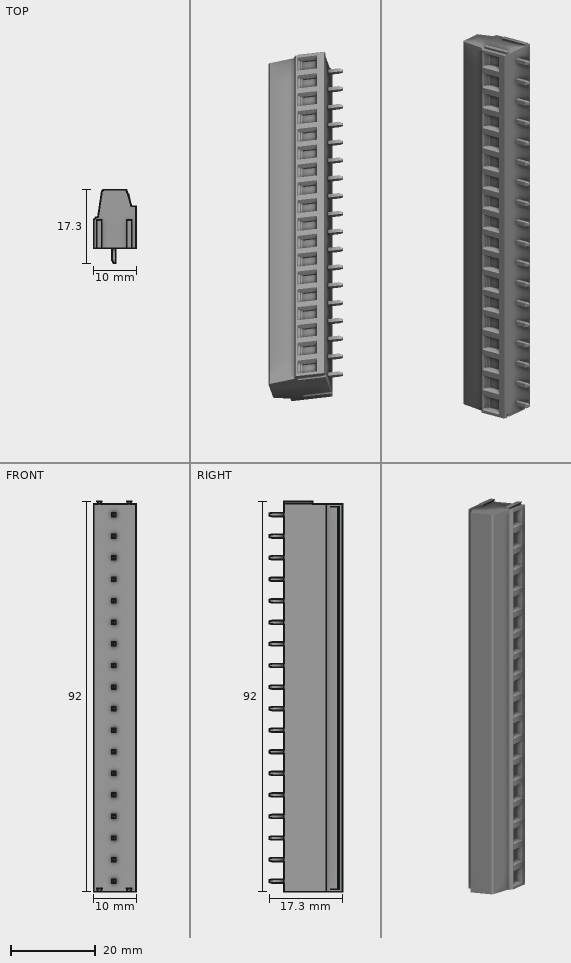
import cadquery as cq

pole_count = 18
overall_height = 92.0
body_height = 91.4
body_width = 10.0
body_depth = 13.8
pole_pitch = body_height / pole_count

left_shoulder_x = 1.0
left_shoulder_y = 7.4
shoulder_chamfer = 0.6
crown_left_x = 1.9
crown_left_y = 13.4
crown_corner = 0.4
crown_right_x = 7.7
right_foot_x = 8.9
right_shoulder_y = 9.9

rail_centers = (1.4, 8.4)
rail_width = 1.2
rail_neck = 0.5
groove_width = 1.3
groove_neck = 0.6
groove_depth = 0.8
rail_height = overall_height - body_height
rail_length = 6.7

window_y_min = 1.7
window_y_max = 6.4
window_height = 3.7
window_taper = 0.55
funnel_depth = 0.9
step_width = 0.55
step_depth = 0.6
clamp_y_max = 5.3
clamp_depth = 0.5

pin_x = 4.8
pin_size = 0.9
pin_length = 3.5
pin_root = 0.9
tip_length = 0.7
tip_size = 0.55

ridge_low_y = 11.0
ridge_high_y = 13.0
ridge_rise = 0.3
ridge_end_gap = 0.6


def slope_x(y):
    """X of the sloping right side at height y above the mounting face."""
    run = right_foot_x - crown_right_x
    return crown_right_x + run * (body_depth - y) / (body_depth - right_shoulder_y)


def make_housing():
    outline = [
        (0, 0),
        (body_width, 0),
        (body_width, right_shoulder_y),
        (right_foot_x, right_shoulder_y),
        (crown_right_x, body_depth),
        (crown_left_x + crown_corner, body_depth),
        (crown_left_x, crown_left_y),
        (left_shoulder_x, left_shoulder_y),
        (shoulder_chamfer, left_shoulder_y),
        (0, left_shoulder_y - shoulder_chamfer),
    ]
    return cq.Workplane("XY").polyline(outline).close().extrude(body_height)


def make_ridge():
    outline = [
        (slope_x(ridge_low_y), ridge_low_y),
        (slope_x(ridge_high_y) + ridge_rise, ridge_high_y - ridge_rise),
        (slope_x(ridge_high_y), ridge_high_y),
        (crown_right_x, ridge_low_y),
    ]
    length = body_height - 2 * ridge_end_gap
    return cq.Workplane("XY", origin=(0, 0, ridge_end_gap)).polyline(outline).close().extrude(length)


def make_dovetail(center_x, base_z, width, neck, height):
    """Prism that widens upward from base_z, running back from the mounting face."""
    outline = [
        (center_x - neck / 2, base_z),
        (center_x + neck / 2, base_z),
        (center_x + width / 2, base_z + height),
        (center_x - width / 2, base_z + height),
    ]
    return cq.Workplane("XZ").polyline(outline).close().extrude(-rail_length)


def make_window(center_z):
    """Funnel tapered on three sides, stepped on the fourth, with a clamp recess in its floor."""
    opening_y = window_y_max - window_y_min
    floor_y_min = window_y_min + window_taper
    floor_y = window_y_max - floor_y_min
    floor_z = window_height - 2 * window_taper
    funnel = (
        cq.Workplane("YZ", origin=(0, window_y_max, center_z))
        .center(-opening_y / 2, 0)
        .rect(opening_y, window_height)
        .workplane(offset=funnel_depth)
        .center((opening_y - floor_y) / 2, 0)
        .rect(floor_y, floor_z)
        .loft(combine=True)
    )
    step = cq.Workplane("XY").box(
        funnel_depth, step_width, window_height, centered=(False, False, True)
    )
    step = step.translate((step_depth, window_y_max - step_width, center_z))
    recess = cq.Workplane("XY").box(
        clamp_depth, clamp_y_max - floor_y_min, floor_z, centered=(False, False, True)
    )
    return funnel.cut(step).union(recess.translate((funnel_depth, floor_y_min, center_z)))


def make_pin(center_z):
    """Square pin rooted inside the housing, tapering to a blunt tip flush with its +X side."""
    shank_end = tip_length - pin_length
    shank = (
        cq.Workplane("XZ", origin=(pin_x, pin_root, center_z))
        .rect(pin_size, pin_size)
        .extrude(pin_root - shank_end)
    )
    tip = (
        cq.Workplane("XZ", origin=(pin_x, shank_end, center_z))
        .rect(pin_size, pin_size)
        .workplane(offset=tip_length)
        .center((pin_size - tip_size) / 2, 0)
        .rect(tip_size, tip_size)
        .loft(combine=True)
    )
    return shank.union(tip)


result = make_housing().union(make_ridge())

for rail_x in rail_centers:
    result = result.union(make_dovetail(rail_x, body_height, rail_width, rail_neck, rail_height))
    result = result.cut(make_dovetail(rail_x, 0, groove_width, groove_neck, groove_depth))

for pole in range(pole_count):
    pole_z = (pole + 0.5) * pole_pitch
    result = result.cut(make_window(pole_z))
    result = result.union(make_pin(pole_z))